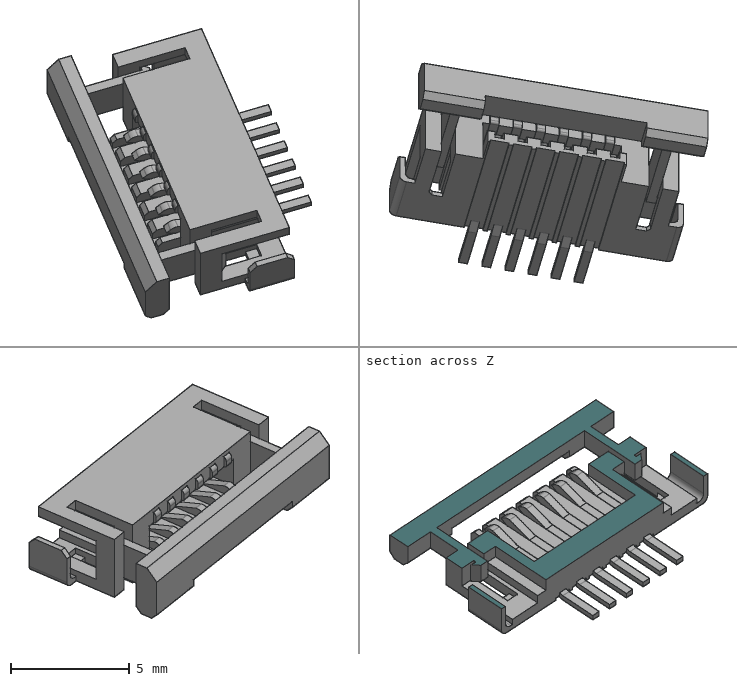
import cadquery as cq
import math


housing_width = 11.0
housing_depth = 4.0
housing_height = 3.01

slot_outer_x = 4.8
slot_inner_x = 4.2
slot_back_y = -1.0

recess_inner_x = 4.0
recess_depth = 3.03
recess_bottom = 0.53
recess_top = 2.52
groove_bottom = 0.93
groove_top = 2.1
groove_depth = 0.49

mouth_width = 6.0
mouth_top = 2.26
mouth_back_y = -1.2
tongue_front_y = -5.0
tongue_height = 0.89
tongue_chamfer = 0.2

contact_count = 6
contact_span = 5.0
contact_pitch = contact_span / (contact_count - 1)
channel_width = 0.4
channel_floor = 0.33
nose_slot_top = 2.8
underside_groove_width = 0.81
underside_groove_height = 0.11

contact_width = 0.38
ramp_start_y = -2.8
root_end_y = -2.5
root_top = 0.48
underside_end_y = -4.12
underside_end_z = 0.84
crest_y = -4.0
crest_z = 1.28
crest_middle_y = -4.18
crest_middle_z = 1.27
crest_end_y = -4.33
crest_end_z = 1.19
tip_y = -4.51
tip_z = 1.06

nose_reach = 0.12
nose_bottom_radius = 0.11
nose_top_radius = 0.22

tail_length = 1.99
tail_thickness = 0.25
tail_bend_y = 0.2
tail_rise = 0.11
tail_rise_run = 0.54

tab_outer_x = 6.15
tab_thickness = 0.25
tab_depth = 1.99
tab_height = 1.83
tab_corner = 0.31
tab_bend_outer_radius = 0.3
tab_bend_inner_radius = 0.3
foot_depth = 1.5
foot_corner = 0.15

slider_width = 12.3
slider_back_y = -5.62
slider_front_y = -6.7
slider_bottom = 0.33
slider_top = 2.84
slider_top_chamfer = 0.52
slider_bottom_chamfer = 0.27
cutout_width = 7.01
cutout_top = 0.92
arm_thickness = 0.4
arm_bottom = 0.6
arm_top = 2.31
arm_end_y = -2.6
barb_length = 0.33
barb_reach = 0.3


def block(x_range, y_range, z_range):
    """Box between pairs of limits given in any order."""
    x0, x1 = sorted(x_range)
    y0, y1 = sorted(y_range)
    z0, z1 = sorted(z_range)
    return cq.Workplane("XY").box(x1 - x0, y1 - y0, z1 - z0, centered=False).translate((x0, y0, z0))


def side_profile(points, width, center_x=0.0):
    """Extrude a (Y, Z) outline along X, centred on center_x."""
    profile = cq.Workplane("YZ").polyline(points).close()
    return profile.extrude(width / 2, both=True).translate((center_x, 0, 0))


def both_ends(body):
    """The body together with its mirror image at the other X end."""
    return body.union(body.mirror("YZ"))


def make_housing():
    half_width = housing_width / 2
    body = block((-half_width, half_width), (0, -housing_depth), (0, housing_height))
    slot = block((-slot_outer_x, -slot_inner_x), (slot_back_y, -housing_depth), (0, housing_height))
    recess = block((-half_width, -recess_inner_x), (0, -recess_depth), (recess_bottom, recess_top))
    groove = block(
        (-half_width, groove_depth - recess_inner_x), (0, -recess_depth), (groove_bottom, groove_top)
    )
    mouth = block(
        (-mouth_width / 2, mouth_width / 2), (mouth_back_y, -housing_depth), (tongue_height, mouth_top)
    )
    return body.cut(both_ends(slot.union(recess).union(groove))).cut(mouth)


def make_tongue():
    outline = [
        (mouth_back_y, 0),
        (tongue_front_y, 0),
        (tongue_front_y, tongue_height - tongue_chamfer),
        (tongue_front_y + tongue_chamfer, tongue_height),
        (mouth_back_y, tongue_height),
    ]
    return side_profile(outline, mouth_width)


def cut_contact_ways(body, x):
    """Channel in the tongue, slot above the mouth and groove in the underside."""
    half = channel_width / 2
    x_range = (x - half, x + half)
    channel = block(x_range, (mouth_back_y, tongue_front_y), (channel_floor, mouth_top))
    nose_slot = block(x_range, (mouth_back_y, -housing_depth), (mouth_top, nose_slot_top))
    groove_half = underside_groove_width / 2
    groove = block((x - groove_half, x + groove_half), (0, tongue_front_y), (0, underside_groove_height))
    return body.cut(channel).cut(nose_slot).cut(groove)


def make_lower_contact(x):
    """Contact rooted in the tongue channel, rising toward the mouth opening."""
    return (
        cq.Workplane("YZ")
        .moveTo(mouth_back_y, channel_floor)
        .lineTo(root_end_y, channel_floor)
        .lineTo(root_end_y, root_top)
        .lineTo(underside_end_y, underside_end_z)
        .lineTo(tip_y, tip_z)
        .lineTo(crest_end_y, crest_end_z)
        .threePointArc((crest_middle_y, crest_middle_z), (crest_y, crest_z))
        .lineTo(ramp_start_y, tongue_height)
        .lineTo(mouth_back_y, tongue_height)
        .close()
        .extrude(contact_width / 2, both=True)
        .translate((x, 0, 0))
    )


def make_upper_contact(x):
    """Straight finger filling the slot above the mouth, its nose just proud of the housing."""
    front_y = -housing_depth - nose_reach
    finger = block(
        (x - contact_width / 2, x + contact_width / 2), (mouth_back_y, front_y), (mouth_top, nose_slot_top)
    )
    finger = finger.edges("|X").edges(">Z").edges("<Y").fillet(nose_top_radius)
    return finger.edges("|X").edges("<Z").edges("<Y").fillet(nose_bottom_radius)


def make_tail(x):
    """Solder tail that climbs slightly as it enters the housing."""
    inner_y = tail_bend_y - tail_rise_run
    outline = [
        (tail_length, 0),
        (tail_bend_y, 0),
        (inner_y, tail_rise),
        (inner_y, tail_rise + tail_thickness),
        (tail_bend_y, tail_thickness),
        (tail_length, tail_thickness),
    ]
    return side_profile(outline, contact_width, x)


def make_tab():
    """Bent hold-down at the -X end: upright plate, rounded bend and flat foot."""
    inner_x = tab_thickness - tab_outer_x
    outer_r = tab_bend_outer_radius
    inner_r = tab_bend_inner_radius
    diagonal = math.sqrt(0.5)
    outer_middle = (outer_r * (1 - diagonal) - tab_outer_x, outer_r * (1 - diagonal))
    inner_middle = (
        inner_x + inner_r * (1 - diagonal),
        tab_thickness + inner_r * (1 - diagonal),
    )
    tab = (
        cq.Workplane("XZ")
        .moveTo(-slot_inner_x, 0)
        .lineTo(outer_r - tab_outer_x, 0)
        .threePointArc(outer_middle, (-tab_outer_x, outer_r))
        .lineTo(-tab_outer_x, tab_height)
        .lineTo(inner_x, tab_height)
        .lineTo(inner_x, tab_thickness + inner_r)
        .threePointArc(inner_middle, (inner_x + inner_r, tab_thickness))
        .lineTo(-slot_inner_x, tab_thickness)
        .close()
        .extrude(tab_depth)
    )
    tab = tab.edges("|X").edges(">Z").chamfer(tab_corner)
    foot_relief = (
        cq.Workplane("XY")
        .moveTo(-slot_inner_x, -foot_depth)
        .lineTo(foot_corner - slot_outer_x, -foot_depth)
        .lineTo(-slot_outer_x, -foot_depth - foot_corner)
        .lineTo(-slot_outer_x, -tab_depth)
        .lineTo(-slot_inner_x, -tab_depth)
        .close()
        .extrude(tab_thickness)
    )
    return tab.cut(foot_relief)


def make_arm():
    """Slider arm at the -X end with an outward barb at its tip."""
    barb_y = arm_end_y - barb_length
    return (
        cq.Workplane("XY")
        .workplane(offset=arm_bottom)
        .moveTo(arm_thickness - slot_outer_x, slider_back_y)
        .lineTo(arm_thickness - slot_outer_x, arm_end_y)
        .lineTo(-slot_outer_x, arm_end_y)
        .lineTo(-slot_outer_x - barb_reach, barb_y)
        .lineTo(-slot_outer_x, barb_y)
        .lineTo(-slot_outer_x, slider_back_y)
        .close()
        .extrude(arm_top - arm_bottom)
    )


def make_slider():
    outline = [
        (slider_back_y, slider_top),
        (slider_back_y, slider_bottom + slider_bottom_chamfer),
        (slider_back_y - slider_bottom_chamfer, slider_bottom),
        (slider_front_y + slider_bottom_chamfer, slider_bottom),
        (slider_front_y, slider_bottom + slider_bottom_chamfer),
        (slider_front_y, slider_top - slider_top_chamfer),
        (slider_front_y + slider_top_chamfer, slider_top),
    ]
    cutout = block(
        (-cutout_width / 2, cutout_width / 2), (slider_back_y, slider_front_y), (slider_bottom, cutout_top)
    )
    bar = side_profile(outline, slider_width).cut(cutout)
    return bar.union(both_ends(make_arm()))


contact_positions = [i * contact_pitch - contact_span / 2 for i in range(contact_count)]

result = make_housing().union(make_tongue())
for contact_x in contact_positions:
    result = cut_contact_ways(result, contact_x)
for contact_x in contact_positions:
    result = result.union(make_lower_contact(contact_x))
    result = result.union(make_upper_contact(contact_x))
    result = result.union(make_tail(contact_x))
result = result.union(both_ends(make_tab())).union(make_slider())